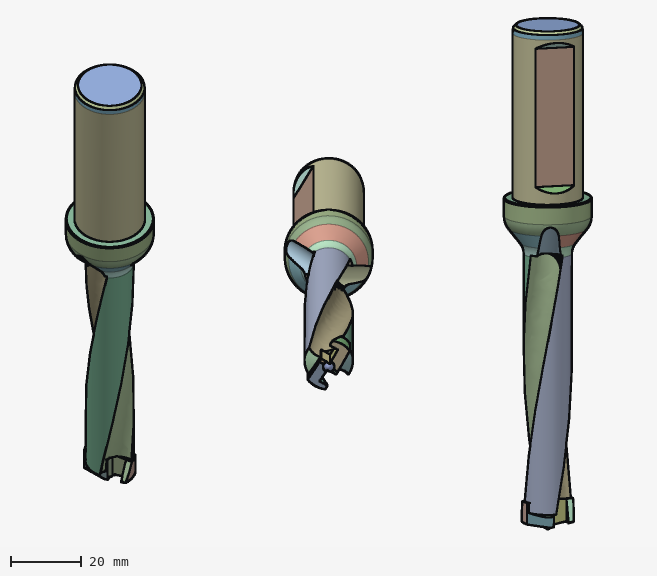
import cadquery as cq
import math

TOTAL_LENGTH = 146.0

SHANK_RADIUS = 20.0 / 2
SHANK_CHAMFER = 0.9
LEAD_IN_DEPTH = 0.1
LEAD_IN_LENGTH = 1.5
FLAT_DEPTH = 1.8
FLAT_BOTTOM = 99.3
FLAT_TOP = 142.8

COLLAR_RADIUS = 25.0 / 2
COLLAR_TOP = 96.0
COLLAR_BOTTOM = 90.8
COLLAR_CHAMFER = 0.3
TAPER_ANGLE = math.radians(38)
NECK_BLEND_RADIUS = 5.1
STEM_RADIUS = 6.9
STEM_TOP = 79.9
STEM_BOTTOM = 5.7
POINT_SLOPE = 0.42

FLUTE_COUNT = 2
FLUTE_FLOOR = 2.0
FLUTE_CENTER = 6.9
FLUTE_RADIUS = FLUTE_CENTER - FLUTE_FLOOR
FLUTE_TOP = 80.3
FLUTE_START_ANGLE = 128.7
TWIST_PER_UNIT = 1.548
RUNOUT_RISE_ANGLE = math.radians(47)
RUNOUT_RADIUS = 3.5
RUNOUT_AZIMUTH = 259.5
RUNOUT_LENGTH = 29.2

INSERT_RADIUS = 7.37
INSERT_THICKNESS = 6.0
INSERT_TOP = 8.6
INSERT_CORNER = 2.5
RIDGE_HEIGHT = 1.0
PILOT_RADIUS = 3.2 / 2
WEB_HALF_WIDTH = 1.0
RAKE_TOP_OFFSET = 0.1
RAKE_BOTTOM_OFFSET = 2.8
POCKET_OFFSET = 0.1
POCKET_END = 5.4

CLEARANCE = 1.5


def turned_blank():
    """Shank, collar, blended taper, stem and conical end as one revolved profile."""
    blend_run = NECK_BLEND_RADIUS * (1 - math.cos(TAPER_ANGLE))
    blend_rise = NECK_BLEND_RADIUS * math.sin(TAPER_ANGLE)
    taper_start = (STEM_RADIUS + blend_run, STEM_TOP + blend_rise)

    corner_z = taper_start[1] + (COLLAR_RADIUS - taper_start[0]) / math.tan(TAPER_ANGLE)
    tangent = COLLAR_BOTTOM - corner_z
    taper_end = (
        COLLAR_RADIUS - tangent * math.sin(TAPER_ANGLE),
        corner_z - tangent * math.cos(TAPER_ANGLE),
    )

    chamfer_bottom = TOTAL_LENGTH - SHANK_CHAMFER
    profile = (
        cq.Workplane("XZ")
        .moveTo(0, STEM_BOTTOM - POINT_SLOPE * STEM_RADIUS)
        .lineTo(STEM_RADIUS, STEM_BOTTOM)
        .lineTo(STEM_RADIUS, STEM_TOP)
        .tangentArcPoint(taper_start, relative=False)
        .lineTo(*taper_end)
        .tangentArcPoint((COLLAR_RADIUS, COLLAR_BOTTOM), relative=False)
        .lineTo(COLLAR_RADIUS, COLLAR_TOP - COLLAR_CHAMFER)
        .lineTo(COLLAR_RADIUS - COLLAR_CHAMFER, COLLAR_TOP)
        .lineTo(SHANK_RADIUS, COLLAR_TOP)
        .lineTo(SHANK_RADIUS, chamfer_bottom - LEAD_IN_LENGTH)
        .lineTo(SHANK_RADIUS - LEAD_IN_DEPTH, chamfer_bottom)
        .lineTo(SHANK_RADIUS - LEAD_IN_DEPTH - SHANK_CHAMFER, TOTAL_LENGTH)
        .lineTo(0, TOTAL_LENGTH)
        .close()
    )
    return profile.revolve(360, (0, 0, 0), (0, 1, 0))


def shank_flat_cutter():
    """Clamping flat whose two ends slope out at 45 degrees."""
    floor = SHANK_RADIUS - FLAT_DEPTH
    outer = SHANK_RADIUS + CLEARANCE
    return (
        cq.Workplane("YZ")
        .polyline([
            (floor, FLAT_BOTTOM + FLAT_DEPTH),
            (outer, FLAT_BOTTOM - CLEARANCE),
            (outer, FLAT_TOP + CLEARANCE),
            (floor, FLAT_TOP - FLAT_DEPTH),
        ])
        .close()
        .extrude(SHANK_RADIUS, both=True)
    )


def flute_cutter():
    """Round flute section twisted about the drill axis."""
    return (
        cq.Workplane("XY")
        .pushPoints([(FLUTE_CENTER, 0)])
        .circle(FLUTE_RADIUS)
        .twistExtrude(FLUTE_TOP, TWIST_PER_UNIT * FLUTE_TOP)
        .rotate((0, 0, 0), (0, 0, 1), FLUTE_START_ANGLE)
    )


def runout_cutter():
    """Straight round tool that climbs outward from the flute floor into the collar."""
    rise = cq.Vector(math.sin(RUNOUT_RISE_ANGLE), 0, math.cos(RUNOUT_RISE_ANGLE))
    across = cq.Vector(math.cos(RUNOUT_RISE_ANGLE), 0, -math.sin(RUNOUT_RISE_ANGLE))
    start = cq.Vector(FLUTE_FLOOR, 0, FLUTE_TOP) + across * RUNOUT_RADIUS
    tool = cq.Solid.makeCylinder(RUNOUT_RADIUS, RUNOUT_LENGTH, start, rise)
    return cq.Workplane(tool).rotate((0, 0, 0), (0, 0, 1), RUNOUT_AZIMUTH)


def insert_slot_cutter():
    """Slot across the drill point that seats the insert."""
    width = 2 * (STEM_RADIUS + CLEARANCE)
    return cq.Workplane("XY").box(
        width, INSERT_THICKNESS, INSERT_TOP, centered=(True, True, False)
    )


def make_holder():
    holder = turned_blank().cut(shank_flat_cutter())
    for index in range(FLUTE_COUNT):
        turn = index * 360 / FLUTE_COUNT
        holder = holder.cut(flute_cutter().rotate((0, 0, 0), (0, 0, 1), turn))
        holder = holder.cut(runout_cutter().rotate((0, 0, 0), (0, 0, 1), turn))
    return holder.cut(insert_slot_cutter())


def rake_cutter():
    """Slanted rake face on the -Y side of the +X cutting edge."""
    outer = -INSERT_THICKNESS / 2 - CLEARANCE
    return (
        cq.Workplane("YZ", origin=(WEB_HALF_WIDTH, 0, 0))
        .polyline([
            (-RAKE_TOP_OFFSET, INSERT_TOP),
            (-RAKE_BOTTOM_OFFSET, INSERT_CORNER),
            (-RAKE_BOTTOM_OFFSET, 0),
            (outer, 0),
            (outer, INSERT_TOP),
        ])
        .close()
        .extrude(INSERT_RADIUS)
    )


def chip_pocket_cutter():
    """Pocket between the central web and the rake face."""
    return cq.Workplane("XY").box(
        POCKET_END - WEB_HALF_WIDTH, INSERT_THICKNESS, INSERT_TOP, centered=False
    ).translate((WEB_HALF_WIDTH, -POCKET_OFFSET - INSERT_THICKNESS, 0))


def centring_point():
    """Conical drill tip on a short round root that is sunk into the blade."""
    return (
        cq.Workplane("XZ")
        .polyline([
            (0, 0),
            (PILOT_RADIUS, RIDGE_HEIGHT),
            (PILOT_RADIUS, INSERT_CORNER),
            (0, INSERT_CORNER),
        ])
        .close()
        .revolve(360, (0, 0, 0), (0, 1, 0))
    )


def make_insert():
    blade = (
        cq.Workplane("XZ")
        .polyline([
            (0, RIDGE_HEIGHT),
            (INSERT_RADIUS, INSERT_CORNER),
            (INSERT_RADIUS, INSERT_TOP),
            (-INSERT_RADIUS, INSERT_TOP),
            (-INSERT_RADIUS, INSERT_CORNER),
        ])
        .close()
        .extrude(INSERT_THICKNESS / 2, both=True)
        .intersect(cq.Workplane("XY").circle(INSERT_RADIUS).extrude(INSERT_TOP))
    )
    blade = blade.union(centring_point())
    for index in range(FLUTE_COUNT):
        turn = index * 360 / FLUTE_COUNT
        blade = blade.cut(rake_cutter().rotate((0, 0, 0), (0, 0, 1), turn))
        blade = blade.cut(chip_pocket_cutter().rotate((0, 0, 0), (0, 0, 1), turn))
    return blade


holder = make_holder()
insert = make_insert()
result = cq.Compound.makeCompound([*holder.solids().vals(), *insert.solids().vals()])